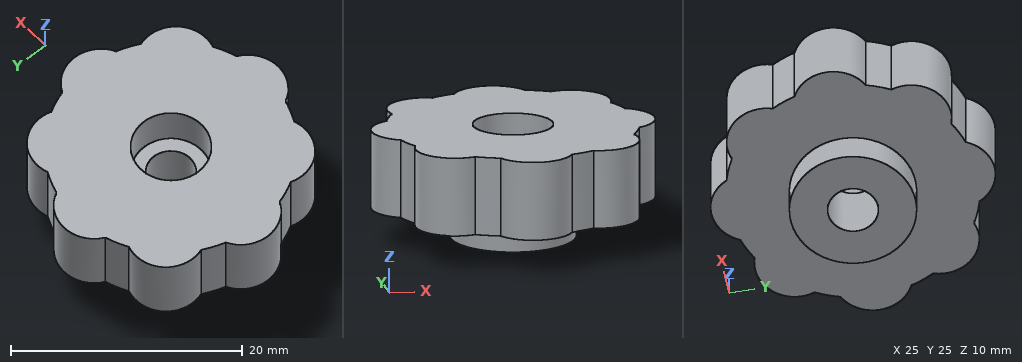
import cadquery as cq

outer_diameter = 24.97
total_height = 10.0

head_height = 7.0
core_diameter = 21.97
lobe_count = 8
lobe_diameter = 7.0
lobe_circle_radius = (outer_diameter - lobe_diameter) / 2

hub_diameter = 11.0
hub_height = total_height - head_height

bore_diameter = 4.4
counterbore_diameter = 7.0
counterbore_depth = 4.0


def lobed_head():
    """Round core with evenly spaced grip lobes, standing on the XY plane."""
    core = cq.Workplane("XY").circle(core_diameter / 2).extrude(head_height)
    lobes = (
        cq.Workplane("XY")
        .polarArray(lobe_circle_radius, 0, 360, lobe_count)
        .circle(lobe_diameter / 2)
        .extrude(head_height)
    )
    return core.union(lobes)


def hub():
    """Plain cylinder hanging below the head."""
    return cq.Workplane("XY").circle(hub_diameter / 2).extrude(-hub_height)


knob = lobed_head().union(hub())

result = (
    knob.faces(">Z")
    .workplane(origin=(0, 0, head_height))
    .cboreHole(bore_diameter, counterbore_diameter, counterbore_depth)
)